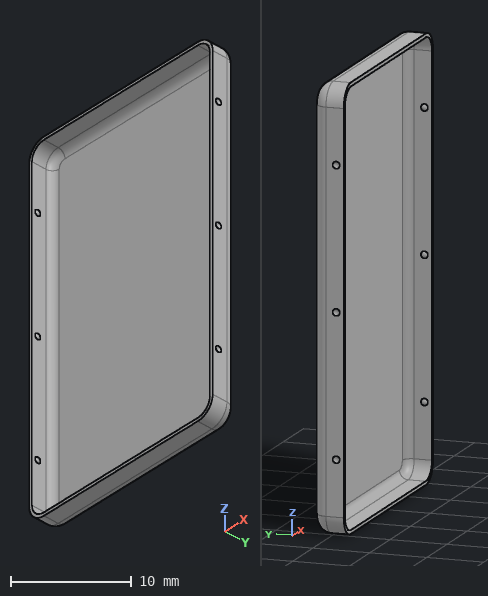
import cadquery as cq
import math

width = 22.2
depth = 2.7
height = 38.4

wall = 0.35
corner_radius = 1.8
back_edge_radius = 1.1

dimple_radius = 0.3
dimple_depth = 0.15
dimple_from_rim = 0.65
dimple_pitch = 12.5

rim_y = -depth / 2
sphere_radius = (dimple_radius**2 + dimple_depth**2) / (2 * dimple_depth)


def rounded_block(inset):
    """Block inset from the outer faces, square at the rim and rounded at the back."""
    block = cq.Workplane("XY").box(width - 2 * inset, depth - inset, height - 2 * inset)
    block = block.edges("|Y").fillet(corner_radius - inset)
    block = block.faces(">Y").edges().fillet(back_edge_radius - inset)
    return block.translate((0, -inset / 2, 0))


def dimple_cap(side, wall_face_x, z):
    """Spherical cap standing inward from the given wall face."""
    tip_x = wall_face_x - dimple_depth
    half_angle = math.asin(dimple_radius / sphere_radius) / 2
    mid_x = tip_x + sphere_radius * (1 - math.cos(half_angle))
    mid_radius = sphere_radius * math.sin(half_angle)
    profile = (
        cq.Workplane("XZ")
        .moveTo(side * tip_x, 0)
        .threePointArc((side * mid_x, mid_radius), (side * wall_face_x, dimple_radius))
        .lineTo(side * wall_face_x, 0)
        .close()
    )
    cap = profile.revolve(360, (0, 0, 0), (1, 0, 0))
    return cap.translate((0, rim_y + dimple_from_rim, z))


def add_dimple(body, side, z):
    """Raise a bump on the inner face and sink a matching hollow in the outer face."""
    outer_x = width / 2
    inner_x = outer_x - wall
    return body.union(dimple_cap(side, inner_x, z)).cut(dimple_cap(side, outer_x, z))


result = rounded_block(0).cut(rounded_block(wall))
for side in (-1, 1):
    for row in (-1, 0, 1):
        result = add_dimple(result, side, row * dimple_pitch)